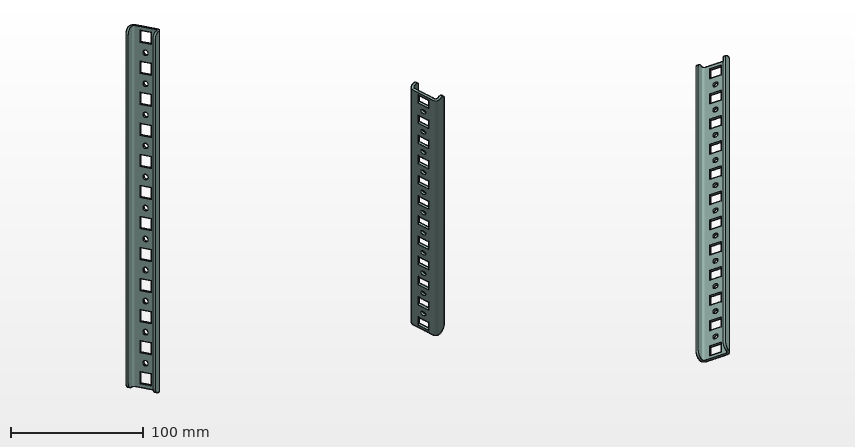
import cadquery as cq

length = 291.0
width = 25.0
depth = 10.0
thickness = 2.0
bend_outer_radius = 3.8
bend_inner_radius = bend_outer_radius - thickness
flange_corner_radius = 5.0

square_count = 12
square_side = 9.5
hole_diameter = 4.5
pitch = 25.0


def row_positions(count):
    """Points along the web, spaced by the pitch and centred on its length."""
    return [(0, (i - (count - 1) / 2) * pitch) for i in range(count)]


def block(block_width, block_depth, back_y, bend_radius):
    """Full-length bar whose two back edges are rounded."""
    return (
        cq.Workplane("XY")
        .box(block_width, block_depth, length)
        .edges("|Z and >Y")
        .fillet(bend_radius)
        .translate((0, back_y - block_depth / 2, 0))
    )


def make_channel():
    """Bent channel with the free corners of both flanges rounded."""
    back_y = depth / 2
    outer = block(width, depth, back_y, bend_outer_radius)
    outer = outer.edges("|X and <Y").fillet(flange_corner_radius)
    inner = block(width - 2 * thickness, depth, back_y - thickness, bend_inner_radius)
    return outer.cut(inner)


def make_web_cutters():
    """Square and round prisms that pass right through the web."""
    web_plane = cq.Workplane("XZ")
    squares = (
        web_plane.pushPoints(row_positions(square_count))
        .rect(square_side, square_side)
        .extrude(depth, both=True)
    )
    holes = (
        web_plane.pushPoints(row_positions(square_count - 1))
        .circle(hole_diameter / 2)
        .extrude(depth, both=True)
    )
    return squares, holes


square_cutters, hole_cutters = make_web_cutters()
result = make_channel().cut(square_cutters).cut(hole_cutters)